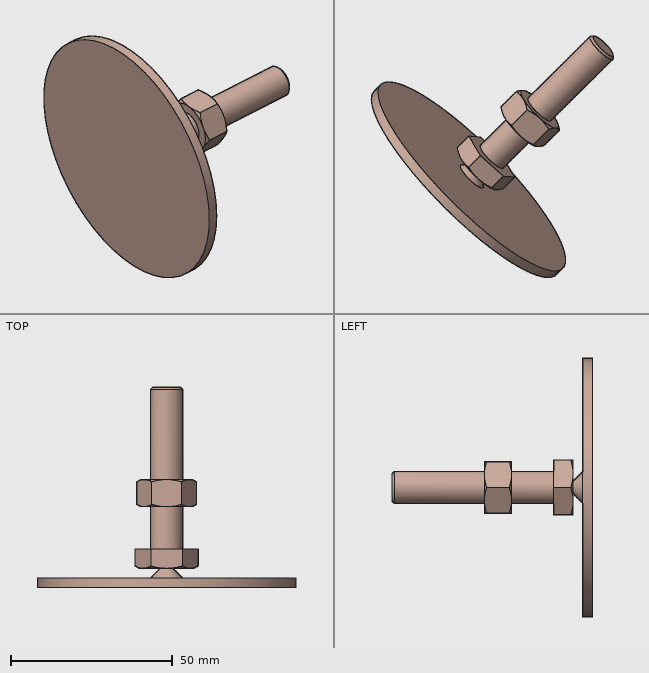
import cadquery as cq
import math

total_length = 62.0
plate_diameter = 80
plate_thickness = 3.0

stud_diameter = 10.0
stud_end_chamfer = 0.7
neck_diameter = 4

head_across_flats = 17.0
head_start = 6.0
head_height = 6.0

nut_across_flats = 16
nut_start = 25.0
nut_height = 8.4

hex_chamfer_angle = 30

front_y = -total_length / 2


def cylinder(diameter, start, length):
    """Round bar along +Y whose near end lies at the given station."""
    plane = cq.Plane(origin=(0, front_y + start, 0), xDir=(1, 0, 0), normal=(0, 1, 0))
    return cq.Workplane(plane).circle(diameter / 2).extrude(length)


def hexagon(across_flats, start, height, chamfer_far_end):
    """Hexagonal prism along +Y, corners on X, with conically chamfered corners."""
    corner_radius = across_flats / 2 / math.cos(math.pi / 6)
    end_radius = across_flats / 2
    chamfer_depth = (corner_radius - end_radius) * math.tan(math.radians(hex_chamfer_angle))
    plane = cq.Plane(origin=(0, front_y + start, 0), xDir=(1, 0, 0), normal=(0, 1, 0))
    prism = cq.Workplane(plane).polygon(6, 2 * corner_radius).extrude(height)

    near = front_y + start
    far = near + height
    profile = cq.Workplane("XY").moveTo(0, near).lineTo(end_radius, near)
    profile = profile.lineTo(corner_radius, near + chamfer_depth)
    if chamfer_far_end:
        profile = profile.lineTo(corner_radius, far - chamfer_depth).lineTo(end_radius, far)
    else:
        profile = profile.lineTo(corner_radius, far)
    envelope = profile.lineTo(0, far).close().revolve(360, (0, 0, 0), (0, 1, 0))
    return prism.intersect(envelope)


def make_plate():
    return cylinder(plate_diameter, 0, plate_thickness)


def make_stud():
    neck_length = head_start - plate_thickness
    foot_radius = neck_diameter / 2 + neck_length
    neck = (
        cq.Workplane("XY")
        .moveTo(0, front_y + plate_thickness)
        .lineTo(foot_radius, front_y + plate_thickness)
        .lineTo(neck_diameter / 2, front_y + head_start)
        .lineTo(0, front_y + head_start)
        .close()
        .revolve(360, (0, 0, 0), (0, 1, 0))
    )
    head = hexagon(head_across_flats, head_start, head_height, chamfer_far_end=False)
    shank_start = head_start + head_height
    shank = cylinder(stud_diameter, shank_start, total_length - shank_start)
    shank = shank.faces(">Y").chamfer(stud_end_chamfer)
    return neck.union(head).union(shank)


def make_nut():
    body = hexagon(nut_across_flats, nut_start, nut_height, chamfer_far_end=True)
    return body.cut(cylinder(stud_diameter, nut_start, nut_height))


plate = make_plate()
stud = make_stud()
nut = make_nut()

result = cq.Compound.makeCompound([plate.val(), stud.val(), nut.val()])